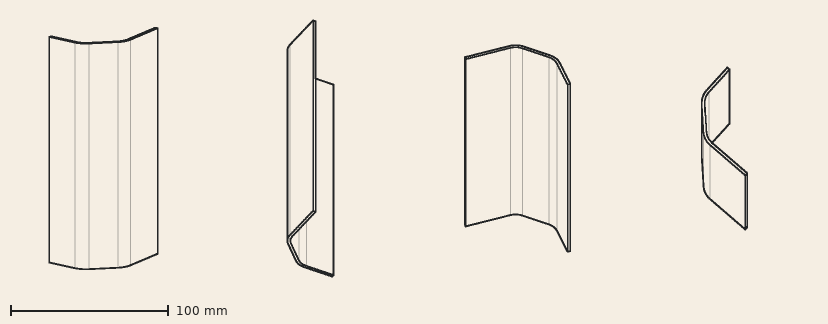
import cadquery as cq
import math

width = 45.0
depth = 55.0
height = 150.0
thickness = 2.0
outer_bend_radius = 12.0
long_leg = 30.0
bend_angle = math.radians(45)

corner_size = depth - long_leg
short_leg = width - corner_size
lower_center_x = short_leg
lower_center_y = outer_bend_radius
upper_center_x = width - outer_bend_radius
upper_center_y = corner_size


def bend_point(center_x, center_y, radius, angle):
    """Point on a bend, with the angle measured from +X."""
    return (center_x + radius * math.cos(angle), center_y + radius * math.sin(angle))


def lower_bend(radius, turn):
    """Point on the bend beside the short leg, after turning from its flat."""
    return bend_point(lower_center_x, lower_center_y, radius, turn - math.pi / 2)


def upper_bend(radius, turn):
    """Point on the bend beside the long leg, before turning into its flat."""
    return bend_point(upper_center_x, upper_center_y, radius, -turn)


inner_bend_radius = outer_bend_radius - thickness

profile = (
    cq.Workplane("XY")
    .moveTo(0, 0)
    .lineTo(short_leg, 0)
    .threePointArc(
        lower_bend(outer_bend_radius, bend_angle / 2),
        lower_bend(outer_bend_radius, bend_angle),
    )
    .lineTo(*upper_bend(outer_bend_radius, bend_angle))
    .threePointArc(
        upper_bend(outer_bend_radius, bend_angle / 2),
        upper_bend(outer_bend_radius, 0),
    )
    .lineTo(width, depth)
    .lineTo(width - thickness, depth)
    .lineTo(*upper_bend(inner_bend_radius, 0))
    .threePointArc(
        upper_bend(inner_bend_radius, bend_angle / 2),
        upper_bend(inner_bend_radius, bend_angle),
    )
    .lineTo(*lower_bend(inner_bend_radius, bend_angle))
    .threePointArc(
        lower_bend(inner_bend_radius, bend_angle / 2),
        lower_bend(inner_bend_radius, 0),
    )
    .lineTo(0, thickness)
    .close()
)

result = profile.extrude(height)